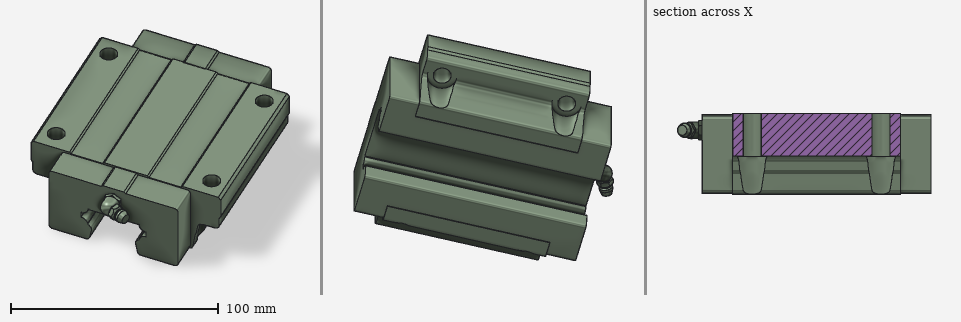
import cadquery as cq
import math


block_length = 80.9
block_height = 39
block_half_width = 50

flange_bottom = 18.3
flange_edge_chamfer = 1.3
flange_bottom_fillet = 2.5
side_step_top = 26.8
side_step_height = 1.6
side_step_inset = 0.9
side_step_lip = 0.4
side_step_lip_drop = 1.0
flange_root_x = 38.2
flange_root_fillet = 3.4

groove_depth = 0.7
groove_side_run = 0.9
center_pad_half_width = 11.3
outer_pad_inner_x = 29.8

skirt_step_top = (37.1, 11.7)
skirt_step_bottom = (36.5, 9.8)
skirt_bottom_x = 35.0
skirt_bottom_fillet = 2.5
skirt_foot_inner_x = 26.2

hole_diameter = 8.5
hole_spacing_x = 82.0
hole_spacing_y = 62.0
head_clearance_diameter = 14.3

cap_length = 14.6
cap_half_width = 34.0
cap_bottom = 0.5
cap_top = 37.8
cap_corner_fillet = 2.0
cap_pad_height = 0.7
cap_pad_half_width = 5.5
cap_pad_side_run = 1.0
cap_outer_y = block_length / 2 + cap_length

cap_screws = [(17.0, 31.0, 10.6), (29.0, 15.0, 6.3)]

channel_top = 20.1
channel_half_width = 13.5
race_half_width = 17.1
race_center_z = 15.1
race_flat_half_height = 1.5
race_mouth_half_height = 4.1
race_arc_radius = 3.9
lip_top_z = 10.5
lip_tip = (11.3, 8.3)
lip_tip_fillet = 1.7
lip_round_top = (12.6, 2.3)
lip_round_bottom_x = 14.5
lip_round_radius = 2.1

fitting_z = 30.9
base_hex_flats = 8.2
base_hex_length = 1.8
base_hex_chamfer = 0.5
elbow_radius = base_hex_flats / 2
elbow_center_offset = 5.2
nipple_angle = 22
collar_start = 3.4
collar_end = 6.6
collar_flats = 7.1
collar_start_chamfer = 0.4
collar_end_chamfer = 1.2
neck_radius = 2.7
neck_end = 7.1
head_radius = 3.3
head_start = 7.7
head_end = 9.0
tip_radius = 2.5
tip_end = 11.6


def fillet_long_edge(body, x, z, radius):
    """Round the edge that runs along Y through (x, z)."""
    return body.edges(cq.selectors.NearestToPointSelector((x, 0, z))).fillet(radius)


def mirrored_bar(half_profile, length, fillets):
    """Extrude a right-hand XZ profile along Y, fillet its corners and add its mirror image."""
    half = cq.Workplane("XZ").polyline(half_profile).close().extrude(length / 2, both=True)
    for (x, z), radius in fillets:
        half = fillet_long_edge(half, x, z, radius)
    return half.union(half.mirror("YZ"))


def make_block():
    groove_z = block_height - groove_depth
    lower_side_x = block_half_width - side_step_inset
    flange_bottom_corner = (lower_side_x, flange_bottom)
    flange_root = (flange_root_x, flange_bottom)
    skirt_bottom_corner = (skirt_bottom_x, 0)
    half_profile = [
        (0, block_height),
        (center_pad_half_width, block_height),
        (center_pad_half_width + groove_side_run, groove_z),
        (outer_pad_inner_x - groove_side_run, groove_z),
        (outer_pad_inner_x, block_height),
        (block_half_width - flange_edge_chamfer, block_height),
        (block_half_width, block_height - flange_edge_chamfer),
        (block_half_width, side_step_top),
        (lower_side_x + side_step_lip, side_step_top - side_step_lip_drop),
        (lower_side_x, side_step_top - side_step_height),
        flange_bottom_corner,
        flange_root,
        skirt_step_top,
        skirt_step_bottom,
        skirt_bottom_corner,
        (skirt_foot_inner_x, 0),
        (skirt_foot_inner_x, cap_bottom),
        (0, cap_bottom),
    ]
    fillets = [
        (flange_bottom_corner, flange_bottom_fillet),
        (flange_root, flange_root_fillet),
        (skirt_bottom_corner, skirt_bottom_fillet),
    ]
    return mirrored_bar(half_profile, block_length, fillets)


def cut_mounting_holes(body):
    """Through holes in the flange, with screw head clearance cut into the skirt below it."""
    holes = (
        cq.Workplane("XY")
        .rarray(hole_spacing_x, hole_spacing_y, 2, 2)
        .circle(hole_diameter / 2)
        .extrude(block_height)
    )
    clearances = (
        cq.Workplane("XY")
        .rarray(hole_spacing_x, hole_spacing_y, 2, 2)
        .circle(head_clearance_diameter / 2)
        .extrude(flange_bottom)
    )
    return body.cut(holes).cut(clearances)


def make_cap():
    top_corner = (cap_half_width, cap_top)
    bottom_corner = (cap_half_width, cap_bottom)
    half_profile = [
        (0, cap_top + cap_pad_height),
        (cap_pad_half_width, cap_top + cap_pad_height),
        (cap_pad_half_width + cap_pad_side_run, cap_top),
        top_corner,
        bottom_corner,
        (0, cap_bottom),
    ]
    fillets = [(top_corner, cap_corner_fillet), (bottom_corner, cap_corner_fillet)]
    return mirrored_bar(half_profile, cap_length, fillets)


def make_channel():
    """Rail clearance through the whole carriage, with a rounded-mouth race on each side."""
    race_top = race_center_z + race_flat_half_height
    race_bottom = race_center_z - race_flat_half_height
    mouth_top = race_center_z + race_mouth_half_height
    mouth_bottom = race_center_z - race_mouth_half_height
    half = (
        cq.Workplane("XZ")
        .moveTo(0, channel_top)
        .lineTo(channel_half_width, channel_top)
        .lineTo(channel_half_width, mouth_top)
        .radiusArc((race_half_width, race_top), -race_arc_radius)
        .lineTo(race_half_width, race_bottom)
        .radiusArc((channel_half_width, mouth_bottom), -race_arc_radius)
        .lineTo(channel_half_width, lip_top_z)
        .lineTo(*lip_tip)
        .lineTo(*lip_round_top)
        .radiusArc((lip_round_bottom_x, cap_bottom), -lip_round_radius)
        .lineTo(0, cap_bottom)
        .close()
        .extrude(cap_outer_y, both=True)
    )
    half = fillet_long_edge(half, *lip_tip, lip_tip_fillet)
    return half.union(half.mirror("YZ"))


def add_flush_screws(body):
    """Fill screw holes in the front cap with heads that lie flush with its face."""
    for x, z, diameter in cap_screws:
        screws = (
            cq.Workplane("XZ", origin=(0, -cap_outer_y, 0))
            .pushPoints([(-x, z), (x, z)])
            .circle(diameter / 2)
            .extrude(-cap_length / 2)
        )
        body = body.cut(screws, clean=False).union(screws, clean=False)
    return body


def make_carriage():
    body = cut_mounting_holes(make_block())
    cap_middle_y = cap_outer_y - cap_length / 2
    for y in (-cap_middle_y, cap_middle_y):
        body = body.union(make_cap().translate((0, y, 0)))
    return add_flush_screws(body.cut(make_channel()))


def make_hex(flats, start, end, corner_chamfers):
    """Hexagon along +Z with two flats facing X, its corners trimmed by 45 degree cones.

    corner_chamfers maps an end face selector to the depth of the cone there.
    """
    corner_radius = flats / 2 / math.cos(math.pi / 6)
    blank = cq.Workplane("XY", origin=(0, 0, start))
    hexagon = (
        blank
        .transformed(rotate=(0, 0, 90))
        .polygon(6, 2 * corner_radius)
        .extrude(end - start)
    )
    envelope = blank.circle(corner_radius).extrude(end - start)
    for end_face, chamfer in corner_chamfers.items():
        envelope = envelope.faces(end_face).chamfer(chamfer)
    return hexagon.intersect(envelope)


def make_nipple():
    """Hex collar and grooved head, standing along +Z from the ball centre."""
    collar_chamfers = {"<Z": collar_start_chamfer, ">Z": collar_end_chamfer}
    collar = make_hex(collar_flats, collar_start, collar_end, collar_chamfers)
    head = cq.Workplane("XZ").polyline([
        (0, 0),
        (neck_radius, 0),
        (neck_radius, neck_end),
        (head_radius, head_start),
        (head_radius, head_end),
        (tip_radius, tip_end),
        (0, tip_end),
    ]).close().revolve(360, (0, 0), (0, 1))
    return collar.union(head)


def make_fitting():
    """Angled grease fitting, seated on the front cap face."""
    base = (
        make_hex(base_hex_flats, 0, base_hex_length, {">Z": base_hex_chamfer})
        .rotate((0, 0, 0), (1, 0, 0), 90)
    )
    elbow = cq.Workplane("XZ").circle(elbow_radius).extrude(elbow_center_offset)
    ball = cq.Workplane("XY").sphere(elbow_radius).translate((0, -elbow_center_offset, 0))
    nipple = (
        make_nipple()
        .rotate((0, 0, 0), (0, 1, 0), 90)
        .rotate((0, 0, 0), (0, 0, 1), -nipple_angle)
        .translate((0, -elbow_center_offset, 0))
    )
    fitting = base.union(elbow).union(ball).union(nipple)
    return fitting.translate((0, -cap_outer_y, fitting_z))


carriage = make_carriage()
grease_fitting = make_fitting()
result = cq.Compound.makeCompound([carriage.solids().val(), grease_fitting.solids().val()])